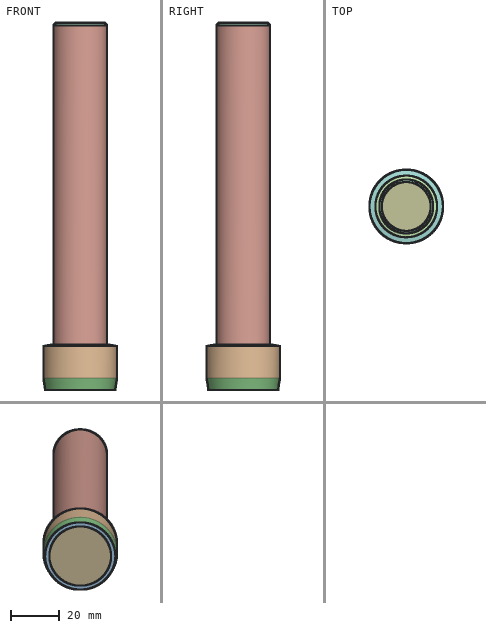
import cadquery as cq

total_length = 150.0
shank_radius = 11.02
shank_chamfer = 1.0
root_radius = 12.6
collar_radius = 15.08
collar_rim_height = 18.0
cone_top_height = 18.8
taper_height = 5.0
taper_inset = 0.8

cone_slope = (cone_top_height - collar_rim_height) / (collar_radius - shank_radius)
joint_height = collar_rim_height + cone_slope * (collar_radius - root_radius)


def revolve_section(points):
    """Solid of revolution about Z from (radius, height) points."""
    return cq.Workplane("XZ").polyline(points).close().revolve(360, (0, 0, 0), (0, 1, 0))


def make_pin():
    """Long shank, chamfered at its free end, on a root that fills the collar's bore."""
    return revolve_section([
        (0, 0),
        (root_radius, 0),
        (root_radius, joint_height),
        (shank_radius, cone_top_height),
        (shank_radius, total_length - shank_chamfer),
        (shank_radius - shank_chamfer, total_length),
        (0, total_length),
    ])


def make_collar():
    """Ring around the pin's root, tapered at the foot and shallowly coned on top."""
    return revolve_section([
        (root_radius, 0),
        (collar_radius - taper_inset, 0),
        (collar_radius, taper_height),
        (collar_radius, collar_rim_height),
        (root_radius, joint_height),
    ])


pin = make_pin()
collar = make_collar()
result = cq.Compound.makeCompound([pin.val(), collar.val()])